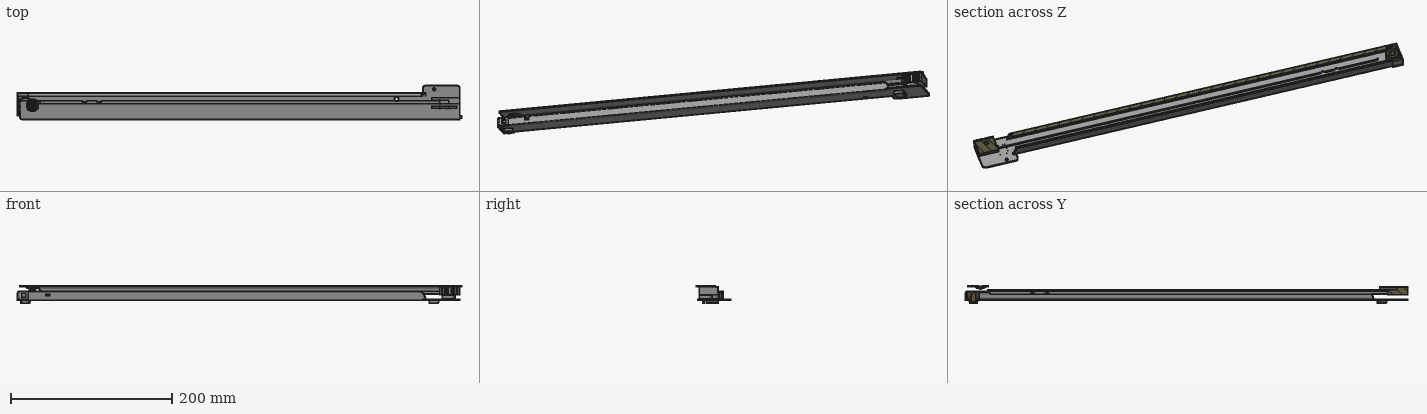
import cadquery as cq

LENGTH = 550.0
WIDTH = 42.28
HEIGHT = 21.92
SHEET = 1.5

PLATE_BOTTOM = 3.5
PLATE_TOP = PLATE_BOTTOM + SHEET
CHANNEL_TOP = 15.0
CHANNEL_NEAR = 4.9
CHANNEL_FAR = 33.0
NEAR_LIP = 6.5
FAR_LIP = 4.4
CHANNEL_BEND = 1.2
FAR_BEND = 3.4
CHANNEL_START = 13.5
CHANNEL_END = 506.0
END_CUT_LENGTH = 6.0
END_CUT_MIDDLE = 3.0
END_CUT_SHOULDER = 12.0
REAR_NEAR = 1.5
REAR_START = 502.0
REAR_END = 548.0
REAR_CORNER = 4.0
EAR_HOLE = (516.0, 37.5)
EAR_HOLE_DIAMETER = 3.0
PLATE_HOLE = (469.6, 25.3)
PLATE_HOLE_DIAMETER = 5.0

WEB_BOTTOM = HEIGHT - SHEET
WEB_START = 3.0
WEB_EDGE = 19.3
WEB_CORNER = 3.0
WEB_END = 548.0
NIB_NEAR = 1.5
NIB_FAR = 4.5
WEB_BEND = 1.5
STEP_TOP = 16.5
STEP_EDGE = 23.2
HOOK_BOTTOM = 11.5
STEP_START = 25.0
STEP_END = 523.0
STEP_START_CUT = 6.0
TAB_END = 28.0
TAB_EDGE = 23.5
DETENT_POSITIONS = (83.0, 101.0)
DETENT_RADIUS = 5.0
DETENT_DEPTH = 1.6
SLOT_START = 513.0
SLOT_END = 544.0
SLOT_NEAR = 13.8
SLOT_FAR = WEB_EDGE - SHEET - WEB_BEND

DIMPLE_CENTER = (18.5, 17.3)
DIMPLE_STAGES = ((16.0, 11.6, 2.0), (9.0, 7.0, 2.0))
DIMPLE_HOLE = 3.0

ROLLER_DIAMETER = 16.0
ROLLER_RIM = 0.8
FRONT_AXIS = (9.8, 19.5)
FRONT_ROLLER_TOP = 14.5
REAR_AXIS = (534.0, 11.3)
REAR_ROLLER_TOP = 10.5
AXLE_DIAMETER = 6.0
TAIL_UPPER = 12.0
TAIL_LOWER = 10.0
TAIL_BORE = 6.0

PLUG_START = 35.0
PLUG_LENGTH = 5.0
PLUG_DEPTH = 3.0
PLUG_BOTTOM = 9.5
PLUG_HEIGHT = 2.0

CAP_WALL = 1.5
CAP_NEAR = CHANNEL_NEAR
CAP_ARM = 4.2
CAP_CORNER = 2.5
CAP_WINDOW = (5.5, 10.5)
CAP_SLIT = (12.0, 26.5)
CAP_SLIT_HEIGHT = 1.5
CAP_MARGIN = 2.5
LEG_START = 3.9
LEG_END = 5.4
LEG_NEAR = CAP_NEAR + 3.1
LEG_FAR = CAP_NEAR + 4.6

CARRIER_START = 523.0
CARRIER_END = 548.0
CARRIER_NEAR = 3.3
CARRIER_FAR = 27.0
CARRIER_RECESS = 3.0
CARRIER_GROOVES = (525.5, 529.0, 532.0, 537.0, 540.5, 544.0)
GROOVE_WIDTH = 1.4
GROOVE_DEPTH = 1.5
GROOVE_MARGIN = 1.5
ARM_START = 513.0
ARM_NEAR = 24.0
ARM_BOTTOM = 17.0

FOOT_START = 510.0
FOOT_END = 522.0
FOOT_NEAR = 12.0
FOOT_FAR = 27.0
FOOT_CHAMFER = 1.5


def block(x0, x1, y0, y1, z0, z1):
    """Box between opposite corners."""
    return cq.Workplane("XY").box(x1 - x0, y1 - y0, z1 - z0, centered=False).translate((x0, y0, z0))


def disc(center, diameter, z0, z1):
    """Upright cylinder."""
    return cq.Workplane("XY", origin=(*center, z0)).circle(diameter / 2).extrude(z1 - z0)


def cone(center, lower_diameter, upper_diameter, z0, z1):
    """Upright truncated cone."""
    return (
        cq.Workplane("XY", origin=(*center, z0)).circle(lower_diameter / 2)
        .workplane(offset=z1 - z0).circle(upper_diameter / 2).loft()
    )


def make_flange_plug():
    """Small plug filling a slot through the near flange."""
    return block(
        PLUG_START, PLUG_START + PLUG_LENGTH, CHANNEL_NEAR, CHANNEL_NEAR + PLUG_DEPTH,
        PLUG_BOTTOM, PLUG_BOTTOM + PLUG_HEIGHT,
    )


def make_cap_leg():
    """Leg of the end cap that passes down through the plate."""
    return block(LEG_START, LEG_END, LEG_NEAR, LEG_FAR, 0, PLATE_TOP)


def make_cabinet_rail():
    channel = block(CHANNEL_START, CHANNEL_END, CHANNEL_NEAR, CHANNEL_FAR, PLATE_BOTTOM, CHANNEL_TOP)
    channel = channel.edges("|X and <Y").fillet(CHANNEL_BEND)
    channel = channel.edges("|X and >Y").fillet(FAR_BEND)
    inside = block(
        CHANNEL_START, CHANNEL_END, CHANNEL_NEAR + SHEET, CHANNEL_FAR - SHEET, PLATE_TOP, CHANNEL_TOP - SHEET
    )
    inside = inside.edges("|X and >Y").fillet(FAR_BEND - SHEET)
    mouth = block(
        CHANNEL_START, CHANNEL_END, CHANNEL_NEAR + NEAR_LIP, CHANNEL_FAR - FAR_LIP,
        CHANNEL_TOP - SHEET, CHANNEL_TOP,
    )
    corner = (
        cq.Workplane("XZ").moveTo(CHANNEL_END, CHANNEL_TOP)
        .lineTo(CHANNEL_END - END_CUT_LENGTH, CHANNEL_TOP)
        .lineTo(CHANNEL_END - END_CUT_MIDDLE, END_CUT_SHOULDER)
        .lineTo(CHANNEL_END, PLATE_TOP).close()
        .extrude(-WIDTH)
    )
    channel = channel.cut(inside).cut(mouth).cut(corner).cut(make_flange_plug())
    front = block(0, CHANNEL_START, CHANNEL_NEAR, CHANNEL_FAR, PLATE_BOTTOM, PLATE_TOP)
    rear = block(REAR_START, REAR_END, REAR_NEAR, WIDTH, PLATE_BOTTOM, PLATE_TOP)
    rear = rear.edges("|Z").fillet(REAR_CORNER)
    rail = channel.union(front).union(rear)
    rail = rail.cut(disc(FRONT_AXIS, AXLE_DIAMETER, PLATE_BOTTOM, PLATE_TOP))
    rail = rail.cut(make_cap_leg())
    rail = rail.cut(disc(EAR_HOLE, EAR_HOLE_DIAMETER, PLATE_BOTTOM, PLATE_TOP))
    return rail.cut(disc(PLATE_HOLE, PLATE_HOLE_DIAMETER, PLATE_BOTTOM, PLATE_TOP))


def add_dimple(rail):
    """Press the stepped dimple down through the web, keeping the sheet thickness."""
    top = HEIGHT
    for upper, lower, depth in DIMPLE_STAGES:
        rail = rail.union(cone(DIMPLE_CENTER, lower, upper, top - depth - SHEET, top - SHEET))
        top -= depth
    top = HEIGHT
    for upper, lower, depth in DIMPLE_STAGES:
        rail = rail.cut(cone(DIMPLE_CENTER, lower - SHEET, upper - SHEET, top - depth, top))
        top -= depth
    return rail.cut(disc(DIMPLE_CENTER, DIMPLE_HOLE, top - SHEET, top))


def make_drawer_rail():
    web = block(WEB_START, WEB_END, 0, WEB_EDGE, WEB_BOTTOM, HEIGHT)
    tab = block(WEB_START, TAB_END, 0, TAB_EDGE, WEB_BOTTOM, HEIGHT)
    nib = block(WEB_END, LENGTH, NIB_NEAR, NIB_FAR, WEB_BOTTOM, HEIGHT)
    web = web.union(tab).edges("|Z and <X").fillet(WEB_CORNER).union(nib)
    stepped_edge = (
        cq.Workplane("YZ", origin=(STEP_START, 0, 0))
        .moveTo(WEB_EDGE - SHEET - WEB_BEND, WEB_BOTTOM)
        .radiusArc((WEB_EDGE - SHEET, WEB_BOTTOM - WEB_BEND), WEB_BEND)
        .lineTo(WEB_EDGE - SHEET, STEP_TOP - SHEET)
        .lineTo(STEP_EDGE - SHEET, STEP_TOP - SHEET)
        .lineTo(STEP_EDGE - SHEET, HOOK_BOTTOM)
        .lineTo(STEP_EDGE, HOOK_BOTTOM)
        .lineTo(STEP_EDGE, STEP_TOP)
        .lineTo(WEB_EDGE, STEP_TOP)
        .lineTo(WEB_EDGE, WEB_BOTTOM)
        .close().extrude(STEP_END - STEP_START)
    )
    slanted_start = (
        cq.Workplane("XZ").moveTo(STEP_START, WEB_BOTTOM)
        .lineTo(STEP_START + STEP_START_CUT, HOOK_BOTTOM)
        .lineTo(STEP_START, HOOK_BOTTOM).close()
        .extrude(-WIDTH)
    )
    rail = web.union(stepped_edge.cut(slanted_start))
    for position in DETENT_POSITIONS:
        center = (position, STEP_EDGE + DETENT_RADIUS - DETENT_DEPTH)
        rail = rail.cut(disc(center, 2 * DETENT_RADIUS, HOOK_BOTTOM, STEP_TOP))
    rail = rail.cut(block(SLOT_START, SLOT_END, SLOT_NEAR, SLOT_FAR, WEB_BOTTOM, HEIGHT))
    return add_dimple(rail)


def make_roller(axis, top):
    roller = disc(axis, ROLLER_DIAMETER, PLATE_TOP, top).edges("%CIRCLE").chamfer(ROLLER_RIM)
    return roller.cut(disc(axis, AXLE_DIAMETER, PLATE_TOP, top))


def make_front_axle():
    """Pin through the front roller with a hollow flared tail under the plate."""
    tail = cone(FRONT_AXIS, TAIL_LOWER, TAIL_UPPER, 0, PLATE_BOTTOM)
    tail = tail.cut(disc(FRONT_AXIS, TAIL_BORE, 0, PLATE_BOTTOM / 2))
    return tail.union(disc(FRONT_AXIS, AXLE_DIAMETER, PLATE_BOTTOM, FRONT_ROLLER_TOP))


def make_rear_axle():
    return disc(REAR_AXIS, AXLE_DIAMETER, PLATE_TOP, WEB_BOTTOM)


def make_end_cap():
    """U-shaped cap whose arms continue the channel flanges around the front roller."""
    cap = block(0, CHANNEL_START, CAP_NEAR, CHANNEL_FAR, PLATE_TOP, CHANNEL_TOP)
    cap = cap.edges(">Z and <X").fillet(CAP_CORNER)
    opening = block(
        CAP_WALL, CHANNEL_START, CAP_NEAR + CAP_WALL, CHANNEL_FAR - CAP_ARM, PLATE_TOP, CHANNEL_TOP
    )
    window = block(
        *CAP_WINDOW, CAP_NEAR, CAP_NEAR + CAP_WALL, PLATE_TOP + CAP_MARGIN, CHANNEL_TOP - CAP_MARGIN
    )
    slit_middle = (PLATE_TOP + CHANNEL_TOP) / 2
    slit = block(
        0, CAP_WALL, *CAP_SLIT, slit_middle - CAP_SLIT_HEIGHT / 2, slit_middle + CAP_SLIT_HEIGHT / 2
    )
    foot_strip = block(0, LEG_END, LEG_NEAR, LEG_FAR, PLATE_TOP, PLATE_TOP + CAP_WALL)
    return cap.cut(opening).cut(window).cut(slit).union(foot_strip).union(make_cap_leg())


def make_carrier():
    carrier = block(CARRIER_START, CARRIER_END, CARRIER_NEAR, CARRIER_FAR, REAR_ROLLER_TOP, WEB_BOTTOM)
    recess = block(
        CARRIER_START, REAR_AXIS[0], WEB_EDGE, CARRIER_FAR - CARRIER_RECESS,
        WEB_BOTTOM - CARRIER_RECESS, WEB_BOTTOM,
    )
    arm = block(ARM_START, CARRIER_START, ARM_NEAR, CARRIER_FAR, ARM_BOTTOM, WEB_BOTTOM)
    carrier = carrier.cut(recess).union(arm)
    for start in CARRIER_GROOVES:
        groove = block(
            start, start + GROOVE_WIDTH, CARRIER_NEAR, CARRIER_NEAR + GROOVE_DEPTH,
            REAR_ROLLER_TOP + GROOVE_MARGIN, WEB_BOTTOM - GROOVE_MARGIN,
        )
        carrier = carrier.cut(groove)
    return carrier.cut(disc(REAR_AXIS, AXLE_DIAMETER, REAR_ROLLER_TOP, WEB_BOTTOM))


def make_foot():
    foot = block(FOOT_START, FOOT_END, FOOT_NEAR, FOOT_FAR, 0, PLATE_BOTTOM)
    return foot.edges("<Z and >X").chamfer(FOOT_CHAMFER)


cabinet_rail = make_cabinet_rail()
drawer_rail = make_drawer_rail()
front_roller = make_roller(FRONT_AXIS, FRONT_ROLLER_TOP)
rear_roller = make_roller(REAR_AXIS, REAR_ROLLER_TOP)
front_axle = make_front_axle()
rear_axle = make_rear_axle()
end_cap = make_end_cap()
carrier = make_carrier()
foot = make_foot()
flange_plug = make_flange_plug()
bodies = [
    cabinet_rail, drawer_rail, front_roller, rear_roller, front_axle,
    rear_axle, end_cap, carrier, foot, flange_plug,
]

result = cq.Compound.makeCompound([body.val() for body in bodies])